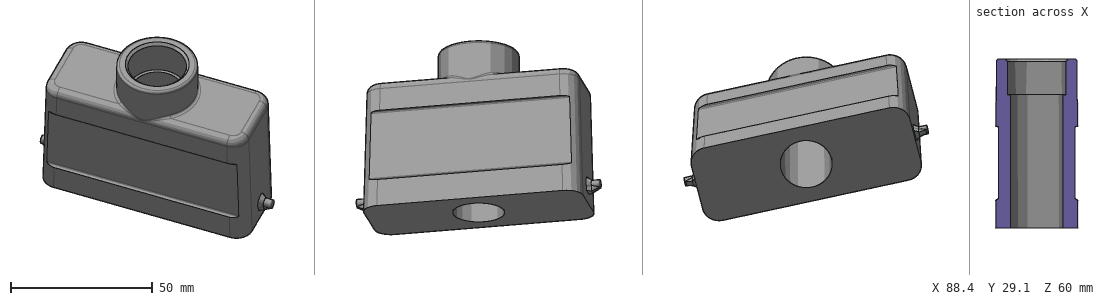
import cadquery as cq

length_over_pins = 88.4
base_length = 79.6
top_length = 76.9
body_width = 29.1
body_height = 47.3
corner_radius = 6.0
top_edge_radius = 2.9

total_height = 60.0
collar_radius = 28.7 / 2
collar_rim_radius = 1.0
collar_root_radius = 1.0
collar_embed = 5.3
selection_margin = 0.1
bore_radius = 10.3
bore_depth = 12.7
bore_mouth_chamfer = 1.0
through_radius = 9.2

recess_depth = 1.0
recess_floor_bottom = 10.6
recess_floor_top = 35.9
recess_bottom_slope = 0.7
recess_top_slope = 0.3
recess_floor_radius = 0.4

pin_radius = 3.2 / 2
pin_height = 7.1
pin_tip_radius = 0.3
pin_embed = 0.9
pin_cone_radius = 2.8
pin_cone_tip_x = 41.2
rib_bottom = 4.2
rib_wall_half_width = 2.1
rib_half_width = 1.0
rib_tip_bottom = 5.7
rib_tip_half_width = 0.7
rib_inset = 0.1

pin_tip_x = length_over_pins / 2
end_lean = (base_length - top_length) / 2 / body_height
wall_x = base_length / 2 - end_lean * pin_height


def make_body():
    """Body with leaning ends, rounded upright corners and a rounded top edge."""
    profile = [
        (-base_length / 2, 0),
        (base_length / 2, 0),
        (top_length / 2, body_height),
        (-top_length / 2, body_height),
    ]
    body = cq.Workplane("XZ").polyline(profile).close().extrude(body_width / 2, both=True)
    upright_edges = body.faces("<X or >X").edges("<Y or >Y")
    body = upright_edges.fillet(corner_radius)
    return body.faces(">Z").edges().fillet(top_edge_radius)


def make_recess(side):
    """Cutter for one recess; its lower and upper walls slope outwards."""
    face_y = side * body_width / 2
    floor_y = face_y - side * recess_depth
    profile = [
        (floor_y, recess_floor_bottom),
        (face_y, recess_floor_bottom - recess_bottom_slope),
        (face_y, recess_floor_top + recess_top_slope),
        (floor_y, recess_floor_top),
    ]
    cutter = cq.Workplane("YZ").polyline(profile).close().extrude(base_length / 2, both=True)
    floor = cutter.faces("<Y" if side > 0 else ">Y")
    return floor.edges("|X").fillet(recess_floor_radius)


def add_collar(body):
    """Join the collar and round the corner where it meets the body."""
    start = body_height - collar_embed
    collar = cq.Workplane("XY", origin=(0, 0, start)).circle(collar_radius).extrude(total_height - start)
    collar = collar.faces(">Z").edges().fillet(collar_rim_radius)
    joined = body.union(collar)
    reach = collar_radius + selection_margin
    root_zone = cq.selectors.BoxSelector(
        (-reach, -reach, body_height - top_edge_radius),
        (reach, reach, body_height + selection_margin),
        boundingbox=True,
    )
    return joined.edges(root_zone).fillet(collar_root_radius)


def make_bore():
    """Stepped bore with a bevelled mouth, open right through the body."""
    ledge = total_height - bore_depth
    mouth_radius = bore_radius + bore_mouth_chamfer
    profile = [
        (0, 0),
        (through_radius, 0),
        (through_radius, ledge),
        (bore_radius, ledge),
        (bore_radius, total_height - bore_mouth_chamfer),
        (mouth_radius, total_height),
        (0, total_height),
    ]
    return cq.Workplane("XZ").polyline(profile).close().revolve(360, (0, 0, 0), (0, 1, 0))


def rib_section(x, upper_half_width, lower_half_width, bottom):
    """Outline across the rib: a trapezoid hanging from the pin's centre height."""
    corners = [
        (x, -upper_half_width, pin_height),
        (x, upper_half_width, pin_height),
        (x, lower_half_width, bottom),
        (x, -lower_half_width, bottom),
    ]
    return cq.Wire.makePolygon([cq.Vector(*corner) for corner in corners], close=True)


def make_pin():
    """Pin on the +X end, with a conical root and a rib under it."""
    root_x = wall_x - pin_embed
    pin = cq.Workplane("YZ", origin=(root_x, 0, pin_height)).circle(pin_radius).extrude(pin_tip_x - root_x)
    pin = pin.faces(">X").edges().fillet(pin_tip_radius)

    slope = (pin_cone_radius - pin_radius) / (pin_cone_tip_x - wall_x)
    buried_radius = pin_cone_radius + slope * pin_embed
    cone_profile = [
        (root_x, pin_height),
        (root_x, pin_height + buried_radius),
        (pin_cone_tip_x, pin_height + pin_radius),
        (pin_cone_tip_x, pin_height),
    ]
    cone = cq.Workplane("XZ").polyline(cone_profile).close()
    cone = cone.revolve(360, (0, pin_height, 0), (1, pin_height, 0))

    rib_sections = [
        (root_x, pin_cone_radius - rib_inset, rib_wall_half_width, rib_bottom),
        (wall_x, pin_cone_radius - rib_inset, rib_wall_half_width, rib_bottom),
        (pin_cone_tip_x, pin_radius - rib_inset, rib_half_width, rib_bottom),
        (pin_tip_x - pin_tip_radius, pin_radius - rib_inset, rib_tip_half_width, rib_tip_bottom),
    ]
    wires = [rib_section(*section) for section in rib_sections]
    rib = cq.Workplane(cq.Solid.makeLoft(wires, True))
    return pin.union(cone).union(rib)


body = make_body()
for side in (-1, 1):
    body = body.cut(make_recess(side))
body = add_collar(body).cut(make_bore())
pin = make_pin()
result = body.union(pin).union(pin.mirror("YZ"))